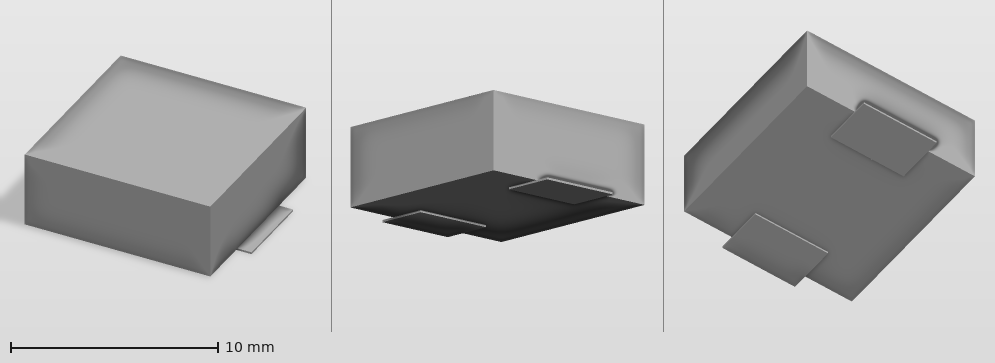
import cadquery as cq

overall_length = 11.62
body_length = 10.1
body_width = 10.0
overall_height = 4.1
terminal_length = 2.71
terminal_width = 4.33
terminal_thickness = 0.1

body_height = overall_height - terminal_thickness
terminal_offset = (overall_length - terminal_length) / 2


def make_body():
    """Plain rectangular block resting on the Z = 0 plane."""
    return cq.Workplane("XY").box(body_length, body_width, body_height, centered=(True, True, False))


def make_terminal(side):
    """Flat strip under the body, reaching past its end; side is -1 or +1 along X."""
    return (
        cq.Workplane("XY")
        .center(side * terminal_offset, 0)
        .rect(terminal_length, terminal_width)
        .extrude(-terminal_thickness)
    )


body = make_body()
terminals = [make_terminal(side) for side in (-1, 1)]

result = cq.Compound.makeCompound([body.val(), *[terminal.val() for terminal in terminals]])